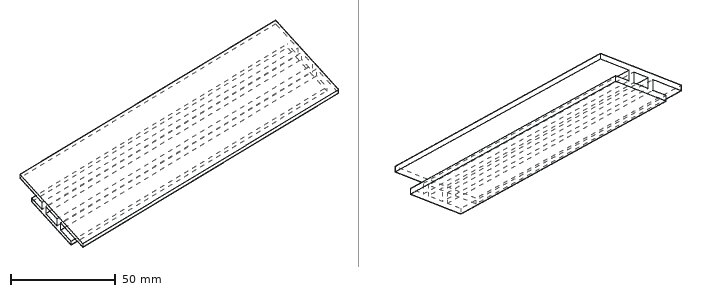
import cadquery as cq

length = 152.4
height = 11.9
top_width = 50.7
bottom_width = 31.7
wall = 3.0
web_gap = 9.0

web_height = height - 2 * wall
web_offset = (web_gap + wall) / 2


def bar(width, thickness, center_x, bottom_z):
    """Full-length rectangular bar, centred on Y."""
    return (
        cq.Workplane("XY")
        .box(width, length, thickness, centered=(True, True, False))
        .translate((center_x, 0, bottom_z))
    )


bottom_flange = bar(bottom_width, wall, 0, 0)
top_flange = bar(top_width, wall, 0, height - wall)

result = bottom_flange.union(top_flange)
for side in (-1, 1):
    result = result.union(bar(wall, web_height, side * web_offset, wall))